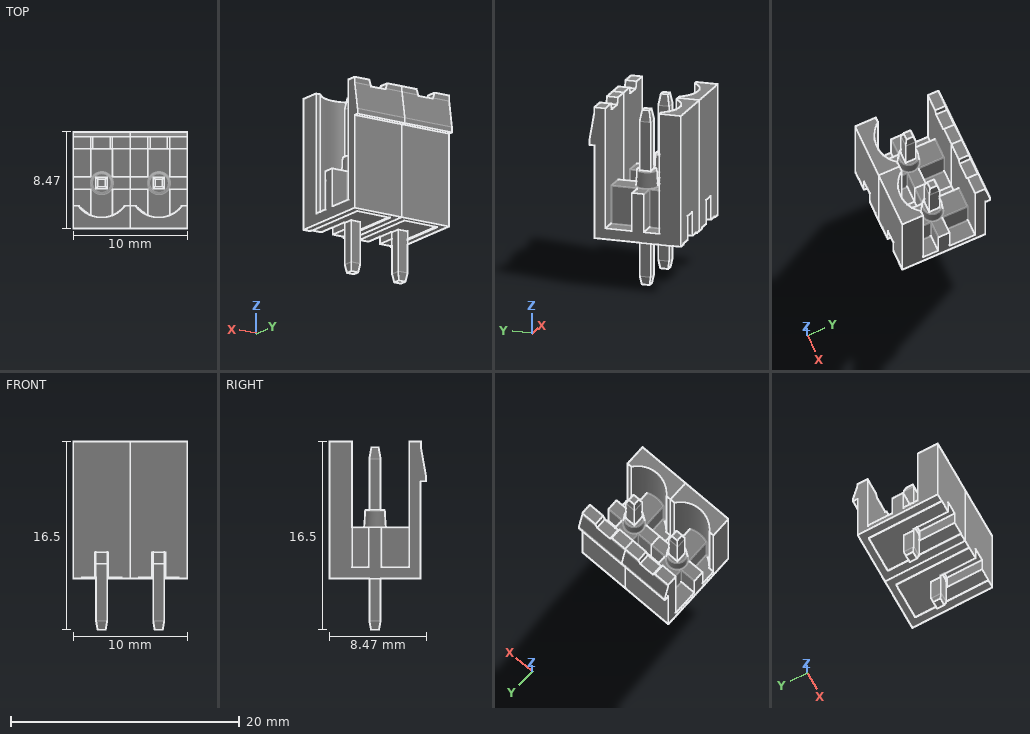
import cadquery as cq
import math

pole_count = 2
pitch = 5.0
pole_middle = pitch / 2

height = 12.0
depth = 8.0
front_wall = 2.0
rear_wall = 1.0
floor_thickness = 1.0
rear_wall_face = depth - rear_wall

hook_reach = 0.47
hook_bottom = 8.5
hook_ramp_bottom = 9.0
hook_top_reach = 0.03
hook_ramp_angle = 10.0

gap_depth = 0.6
gap_top_width = 1.9
gap_side_angle = 18.0

relief_radius = 2.53
relief_wall = 0.97

pin_y = 4.0
pedestal_top = 4.5
block_width = 1.9
rib_thickness = 1.1
collar_height = 1.5
collar_base_radius = 0.96
collar_top_radius = 0.87
edge_radius = 0.05

pin_width = 1.0
pin_top = 11.5
pin_tip_length = 1.0
tail_bottom = -4.5
tail_tip_length = 0.8
tip_angle = 10.0
elbow_top = 2.3
elbow_bottom = elbow_top - pin_width
pin_front = pin_y - pin_width / 2

tail_slot_width = 1.2
recess_width = 3.5
recess_depth = 0.1
recess_length = 7.3


def taper(length, angle):
    """Sideways run of a slope of the given length and angle."""
    return length * math.tan(math.radians(angle))


def centred_box(width, y_start, y_end, z_bottom, z_top):
    """Box centred on the pole in X."""
    return cq.Workplane("XY").box(
        width, y_end - y_start, z_top - z_bottom, centered=(True, False, False)
    ).translate((pole_middle, y_start, z_bottom))


def make_channel():
    """U-shaped profile with the latch hook, swept over one pitch."""
    ramp_height = (hook_reach - hook_top_reach) / math.tan(math.radians(hook_ramp_angle))
    ramp_top = hook_ramp_bottom + ramp_height
    profile = [
        (0, 0),
        (depth, 0),
        (depth, hook_bottom),
        (depth + hook_reach, hook_bottom),
        (depth + hook_reach, hook_ramp_bottom),
        (depth + hook_top_reach, ramp_top),
        (depth + hook_top_reach, height),
        (rear_wall_face, height),
        (rear_wall_face, floor_thickness),
        (front_wall, floor_thickness),
        (front_wall, height),
        (0, height),
    ]
    return cq.Workplane("YZ").polyline(profile).close().extrude(pitch)


def make_relief():
    """Upright cylinder that hollows the front wall down to the floor."""
    return (
        cq.Workplane("XY", origin=(0, 0, floor_thickness))
        .center(pole_middle, relief_wall + relief_radius)
        .circle(relief_radius)
        .extrude(height - floor_thickness)
    )


def make_gap():
    """Trapezoidal gap, wider at the top, through the rear wall."""
    half_top = gap_top_width / 2
    half_bottom = half_top - taper(gap_depth, gap_side_angle)
    gap_bottom = height - gap_depth
    return (
        cq.Workplane("XZ", origin=(pole_middle, rear_wall_face, 0))
        .polyline([
            (-half_top, height),
            (half_top, height),
            (half_bottom, gap_bottom),
            (-half_bottom, gap_bottom),
        ])
        .close()
        .extrude(-(rear_wall + hook_reach))
    )


def make_pedestal(relief):
    """Block from wall to wall, rib across the pitch, and the collar on top."""
    block = centred_box(block_width, relief_wall, rear_wall_face, floor_thickness, pedestal_top)
    front_part = centred_box(block_width, relief_wall, front_wall, floor_thickness, pedestal_top)
    block = block.cut(front_part.cut(relief))
    rib = centred_box(
        pitch, pin_y - rib_thickness / 2, pin_y + rib_thickness / 2, floor_thickness, pedestal_top
    )
    collar = (
        cq.Workplane("XY", origin=(pole_middle, pin_y, pedestal_top))
        .circle(collar_base_radius)
        .workplane(offset=collar_height)
        .circle(collar_top_radius)
        .loft()
    )
    return block.union(rib).union(collar)


def round_edges(housing):
    """Round the pedestal's top edges, the block's sides, the collar's rim and the relief's foot."""
    margin = edge_radius / 2
    collar_top = pedestal_top + collar_height

    def slab(x_start, x_end, z_start, z_end):
        return cq.selectors.BoxSelector(
            (x_start - margin, relief_wall - margin, z_start - margin),
            (x_end + margin, rear_wall_face + margin, z_end + margin),
        )

    block_left = pole_middle - block_width / 2
    block_right = pole_middle + block_width / 2
    relief_foot = cq.selectors.BoxSelector(
        (0, relief_wall, floor_thickness - margin),
        (pitch, front_wall - margin, floor_thickness + margin),
    )
    edges = (
        relief_foot
        + slab(2 * margin, pitch - 2 * margin, pedestal_top, pedestal_top)
        + slab(block_left, block_left, floor_thickness, pedestal_top)
        + slab(block_right, block_right, floor_thickness, pedestal_top)
        + slab(block_left, block_right, collar_top, collar_top)
    )
    return housing.edges(edges).fillet(edge_radius)


def make_housing():
    relief = make_relief()
    housing = make_channel().cut(relief).cut(make_gap()).union(make_pedestal(relief))
    housing = round_edges(housing)
    collar_top = pedestal_top + collar_height
    pin_hole = centred_box(pin_width, pin_front, pin_front + pin_width, 0, collar_top)
    tail_slot = centred_box(tail_slot_width, 0, pin_front, 0, elbow_top)
    recess = centred_box(recess_width, 0, recess_length, 0, recess_depth)
    return housing.cut(pin_hole).cut(tail_slot).cut(recess)


def make_tip(z_start, length):
    """Tapered square tip; a negative length points it down."""
    tip_width = pin_width - 2 * taper(abs(length), tip_angle)
    return (
        cq.Workplane("XY", origin=(pole_middle, pin_y, z_start))
        .rect(pin_width, pin_width)
        .workplane(offset=length)
        .rect(tip_width, tip_width)
        .loft()
    )


def make_shank(z_bottom, z_top):
    """Straight square length of pin."""
    return centred_box(pin_width, pin_front, pin_front + pin_width, z_bottom, z_top)


def make_contact_pin():
    tip_start = pin_top - pin_tip_length
    return make_shank(elbow_top, tip_start).union(make_tip(tip_start, pin_tip_length))


def make_elbow():
    return make_shank(elbow_bottom, elbow_top)


def make_solder_tail():
    tip_start = tail_bottom + tail_tip_length
    return make_shank(tip_start, elbow_bottom).union(make_tip(tip_start, -tail_tip_length))


bodies = []
for pole in range(pole_count):
    for make_body in (make_housing, make_contact_pin, make_elbow, make_solder_tail):
        bodies.append(make_body().translate((pole * pitch, 0, 0)).val())

result = cq.Compound.makeCompound(bodies)